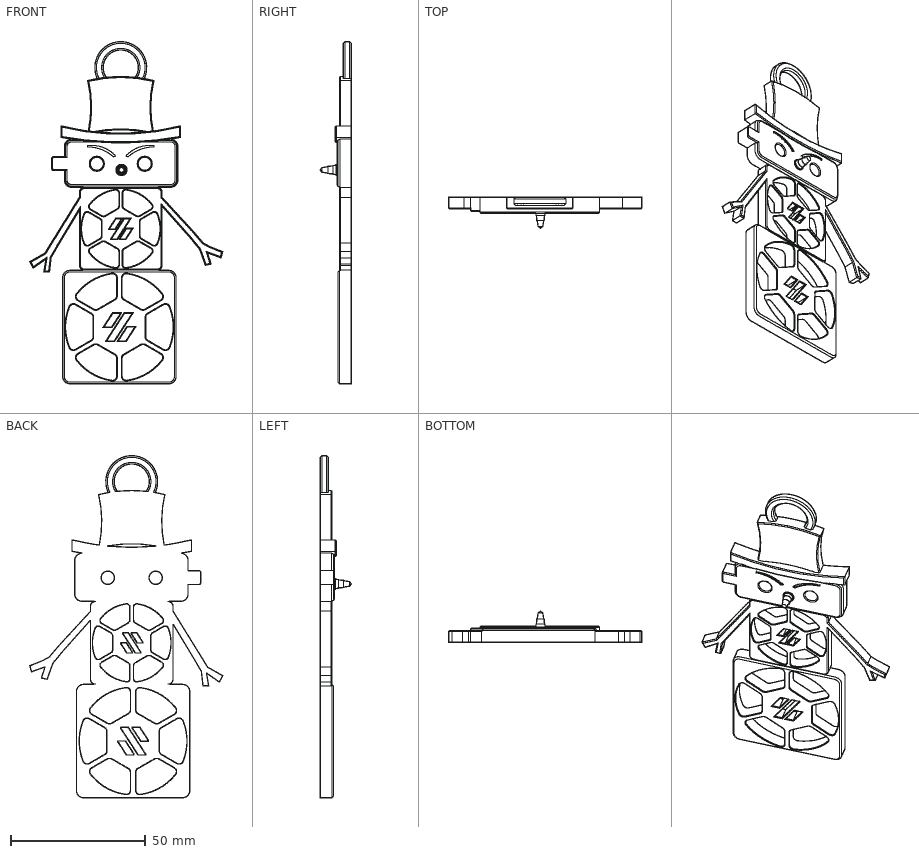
import cadquery as cq
import math


THIN = 4.5
MEDIUM = 5.0
HEAD_THICKNESS = 5.4
BRIM_THICKNESS = 6.0
RING_THICKNESS = 3.0
EDGE_BREAK = 0.4

LOWER_SIDE = 42.4
LOWER_X = -0.5
LOWER_CORNER = 2.8
LOWER_CHAMFER = 0.6
UPPER_SIDE = 30.9
UPPER_CORNER = 1.9
LOWER_Z = LOWER_SIDE / 2
UPPER_Z = LOWER_SIDE + UPPER_SIDE / 2

OPENING_COUNT = 6
GRILLE_RADIUS = 20.0
HUB_APOTHEM = 9.8
SPOKE_WIDTH = 2.0
OPENING_CORNER = 1.5
OPENING_CHAMFER = 0.3

SLOT_HALF_HEIGHT = 5.1
SLOT_WIDTH = 2.8
SLOT_PITCH = 4.3
SLOT_SLOPE = 0.65

HEAD_X = 0.1
HEAD_WIDTH = 42.4
HEAD_HEIGHT = 18.0
HEAD_CORNER = 2.8
HEAD_BEVEL_DEPTH = 1.1
HEAD_BEVEL_INSET = 0.6
HEAD_BOTTOM = LOWER_SIDE + UPPER_SIDE
HEAD_Z = HEAD_BOTTOM + HEAD_HEIGHT / 2
EYE_DIAMETER = 4.8
EYE_X = 8.9
EYE_Z = 82.0
BROW_DEPTH = 0.5
BROW_UPPER_ARC = [(-12.4, 88.8), (-6.4, 88.0), (-1.9, 85.0)]
BROW_LOWER_ARC = [(-12.4, 88.3), (-6.6, 87.2), (-2.7, 84.6)]
EAR_LEFT = -25.8
EAR_ROOT = -EYE_X
EAR_BOTTOM = 79.5
EAR_HEIGHT = 5.2
EAR_ROUND = 0.8

NOSE_X = 0.3
NOSE_Z = 79.8
NOSE_TIP = 11.6
NOSE_COLLAR_DIAMETER = 4.2
NOSE_COLLAR_FRONT = 5.7
NOSE_TAPERS = [(1.8, 1.7, 6.9), (1.5, 1.4, 8.7), (1.3, 0.9, 11.0)]

BRIM_HALF_WIDTH = 22.3
BRIM_TOP_END = 96.2
BRIM_TOP_MIDDLE = 93.4
BRIM_BOTTOM_END = 91.9
BRIM_BOTTOM_MIDDLE = 89.8
HAT_HALF_WIDTH = 12.4
HAT_WAIST = 11.2
HAT_BOTTOM = 93.1
HAT_TOP = 113.0
HAT_BOW = 1.5

RING_TOP = 127.6
RING_OUTER_RADIUS = 9.7
RING_INNER_RADIUS = 6.5
RING_CHAMFER = 0.6

LEFT_ARM = [
    (-14.7, 68.4), (-15.3, 69.8), (-28.3, 48.7), (-34.0, 45.5), (-32.7, 43.1),
    (-28.0, 46.5), (-28.7, 41.7), (-26.5, 41.7), (-25.9, 47.2), (-14.7, 66.0),
]
RIGHT_ARM = [
    (14.7, 70.3), (26.9, 57.0), (30.8, 52.6), (33.0, 51.3), (38.0, 49.3), (37.4, 47.0),
    (32.4, 48.7), (33.7, 44.7), (31.5, 44.1), (29.3, 50.1), (26.0, 54.2), (14.7, 67.0),
]


def front_plane():
    """Sketch plane on the back face: local x is X, local y is Z, extrusions grow to -Y."""
    return cq.Workplane("XZ")


def rounded_plate(x, z, width, height, thickness, corner):
    return (
        front_plane().center(x, z).rect(width, height).extrude(thickness)
        .edges("|Y").fillet(corner)
    )


def grille_opening(direction, scale):
    """One opening between two spokes: a wedge cut off by the hub side and the outer circle."""
    half_angle = math.pi / OPENING_COUNT
    half_spoke = SPOKE_WIDTH * scale / 2
    wedge_tip = half_spoke / math.sin(half_angle)
    reach = 2 * GRILLE_RADIUS * scale
    hub = HUB_APOTHEM * scale
    near = (hub - wedge_tip) * math.tan(half_angle)
    far = (reach - wedge_tip) * math.tan(half_angle)
    wedge = (
        front_plane()
        .polyline([(hub, -near), (reach, -far), (reach, far), (hub, near)]).close()
        .extrude(MEDIUM)
        .rotate((0, 0, 0), (0, 1, 0), direction)
    )
    disc = front_plane().circle(GRILLE_RADIUS * scale).extrude(MEDIUM)
    return wedge.intersect(disc).edges("|Y").fillet(OPENING_CORNER * scale)


def slanted_slot(offset, bottom, top, scale):
    """Parallelogram slot whose middle line crosses z = 0 at x = offset."""
    corners = [
        (offset + SLOT_SLOPE * z + side * SLOT_WIDTH / 2, z)
        for z, side in ((bottom, -1), (bottom, 1), (top, 1), (top, -1))
    ]
    points = [(x * scale, z * scale) for x, z in corners]
    return front_plane().polyline(points).close().extrude(MEDIUM)


def cut_grille(plate, x, z, scale):
    """Cut the openings and slots through the plate and chamfer their front edges."""
    cutters = [grille_opening(i * 360 / OPENING_COUNT, scale) for i in range(OPENING_COUNT)]
    cutters.append(slanted_slot(0, -SLOT_HALF_HEIGHT, SLOT_HALF_HEIGHT, scale))
    cutters.append(slanted_slot(-SLOT_PITCH, 0, SLOT_HALF_HEIGHT, scale))
    cutters.append(slanted_slot(SLOT_PITCH, -SLOT_HALF_HEIGHT, 0, scale))
    for cutter in cutters:
        plate = plate.cut(cutter.translate((x, 0, z)))
    rims = [edge for wire in plate.faces("<Y").val().innerWires() for edge in wire.Edges()]
    return plate.newObject(rims).chamfer(OPENING_CHAMFER)


def lower_body():
    plate = rounded_plate(LOWER_X, LOWER_Z, LOWER_SIDE, LOWER_SIDE, MEDIUM, LOWER_CORNER)
    plate = plate.faces("<Y").chamfer(LOWER_CHAMFER)
    return cut_grille(plate, LOWER_X, LOWER_Z, 1)


def upper_body():
    """Square body with both arms; one chamfer runs round their shared front outline."""
    plate = rounded_plate(0, UPPER_Z, UPPER_SIDE, UPPER_SIDE, THIN, UPPER_CORNER)
    for outline in (LEFT_ARM, RIGHT_ARM):
        plate = plate.union(front_plane().polyline(outline).close().extrude(THIN))
    plate = plate.faces("<Y").chamfer(EDGE_BREAK)
    return cut_grille(plate, 0, UPPER_Z, UPPER_SIDE / LOWER_SIDE)


def brow():
    """Engraving tool for the left eyebrow."""
    upper_outer, upper_middle, upper_inner = BROW_UPPER_ARC
    lower_outer, lower_middle, lower_inner = BROW_LOWER_ARC
    return (
        front_plane().workplane(offset=HEAD_THICKNESS - BROW_DEPTH)
        .moveTo(*upper_outer)
        .threePointArc(upper_middle, upper_inner)
        .lineTo(*lower_inner)
        .threePointArc(lower_middle, lower_outer)
        .close().extrude(BROW_DEPTH)
    )


def head():
    """Bevelled face plate with a flush ear, eye holes, engraved brows and broken front edges."""
    plate = rounded_plate(HEAD_X, HEAD_Z, HEAD_WIDTH, HEAD_HEIGHT, HEAD_THICKNESS, HEAD_CORNER)
    plate = plate.faces("<Y").chamfer(HEAD_BEVEL_DEPTH, HEAD_BEVEL_INSET)
    ear = (
        front_plane()
        .moveTo(EAR_LEFT, EAR_BOTTOM)
        .rect(EAR_ROOT - EAR_LEFT, EAR_HEIGHT, centered=False)
        .extrude(HEAD_THICKNESS)
        .edges("|Y and <X").fillet(EAR_ROUND)
    )
    eyes = (
        front_plane().pushPoints([(-EYE_X, EYE_Z), (EYE_X, EYE_Z)])
        .circle(EYE_DIAMETER / 2).extrude(HEAD_THICKNESS)
    )
    face = plate.union(ear).cut(eyes).faces("<Y").chamfer(EDGE_BREAK)
    return face.cut(brow()).cut(brow().mirror("YZ"))


def nose():
    """Turned carrot nose: a thin collar, stepped tapers and a pointed tip."""
    collar_radius = NOSE_COLLAR_DIAMETER / 2
    start = NOSE_COLLAR_FRONT
    profile = [(0, -THIN), (collar_radius, -THIN), (collar_radius, -start)]
    for start_radius, end_radius, end in NOSE_TAPERS:
        profile += [(start_radius, -start), (end_radius, -end)]
        start = end
    profile.append((0, -NOSE_TIP))
    return (
        cq.Workplane("XY")
        .polyline(profile).close()
        .revolve(360, (0, 0, 0), (0, 1, 0))
        .translate((NOSE_X, 0, NOSE_Z))
    )


def brim():
    return (
        front_plane()
        .moveTo(-BRIM_HALF_WIDTH, BRIM_TOP_END)
        .threePointArc((0, BRIM_TOP_MIDDLE), (BRIM_HALF_WIDTH, BRIM_TOP_END))
        .lineTo(BRIM_HALF_WIDTH, BRIM_BOTTOM_END)
        .threePointArc((0, BRIM_BOTTOM_MIDDLE), (-BRIM_HALF_WIDTH, BRIM_BOTTOM_END))
        .close().extrude(BRIM_THICKNESS)
        .faces("<Y").chamfer(EDGE_BREAK)
    )


def crown():
    waist_z = (HAT_BOTTOM + HAT_TOP) / 2
    return (
        front_plane()
        .moveTo(-HAT_HALF_WIDTH, HAT_BOTTOM)
        .threePointArc((-HAT_WAIST, waist_z), (-HAT_HALF_WIDTH, HAT_TOP))
        .threePointArc((0, HAT_TOP + HAT_BOW), (HAT_HALF_WIDTH, HAT_TOP))
        .threePointArc((HAT_WAIST, waist_z), (HAT_HALF_WIDTH, HAT_BOTTOM))
        .threePointArc((0, HAT_BOTTOM + HAT_BOW), (-HAT_HALF_WIDTH, HAT_BOTTOM))
        .close().extrude(THIN)
        .faces("<Y").chamfer(EDGE_BREAK)
    )


def hanging_ring():
    """Chamfered ring whose lowest part, below the top of the hat, is left out."""
    ring = (
        front_plane().center(0, RING_TOP - RING_OUTER_RADIUS)
        .circle(RING_OUTER_RADIUS).circle(RING_INNER_RADIUS).extrude(RING_THICKNESS)
        .faces("<Y or >Y").edges().chamfer(RING_CHAMFER)
    )
    keep = (
        front_plane().moveTo(-RING_OUTER_RADIUS, HAT_TOP)
        .rect(2 * RING_OUTER_RADIUS, RING_TOP - HAT_TOP, centered=False)
        .extrude(RING_THICKNESS)
    )
    return ring.intersect(keep)


result = lower_body()
for part in (upper_body(), head(), nose(), brim(), crown(), hanging_ring()):
    result = result.union(part)